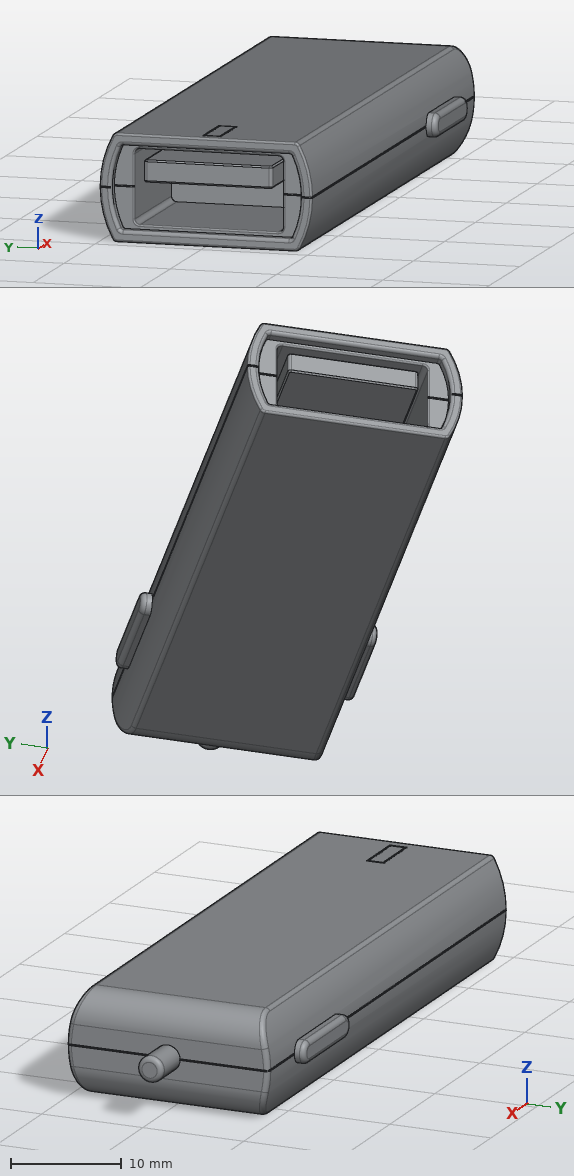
import cadquery as cq
import math

body_length = 53.0
body_width = 20.0
body_height = 10.0
side_radius = body_width / 2
long_edge_fillet = 0.5
rear_edge_fillet = 3.0
front_edge_fillet = 0.2

rim_width = 1.1
mouth_fillet = 0.35
recess_depth = 1.0
recess_corner_fillet = 0.3

socket_width = 14.0
socket_height = 7.0
socket_depth = 12.0
socket_corner_fillet = 0.5
socket_mouth_fillet = 0.15

tongue_width = 12.1
tongue_bottom = 0.5
tongue_top = 2.55
tongue_protrusion = 0.3
tongue_side_fillet = 0.3
tongue_tip_chamfer = 0.15

grip_center_x = 42.1
grip_length = 10.3
grip_height = 2.2
grip_reach = 11.0
grip_fillet = 0.5

cable_diameter = 2.5
cable_length = 4.0
cable_end_fillet = 0.5

seam_width = 0.12
seam_depth = 0.1

window_length = 5.15
window_width = 1.7
window_start_x = 1.1
window_center_y = -0.25
window_groove_width = 0.15
window_groove_depth = 0.1


def barrel_prism(half_width, height, length):
    """Prism from x = 0 with flat top and bottom and sides on a circle of radius half_width."""
    half_height = height / 2
    corner_y = math.sqrt(half_width**2 - half_height**2)
    return (
        cq.Workplane("YZ")
        .moveTo(-corner_y, -half_height)
        .lineTo(corner_y, -half_height)
        .threePointArc((half_width, 0), (corner_y, half_height))
        .lineTo(-corner_y, half_height)
        .threePointArc((-half_width, 0), (-corner_y, -half_height))
        .close()
        .extrude(length)
    )


def make_shell():
    shell = barrel_prism(side_radius, body_height, body_length)
    shell = shell.faces(">X").edges("|Y").fillet(rear_edge_fillet)
    shell = shell.faces("<Y or >Y").edges("not <X").fillet(long_edge_fillet)
    return shell.faces("<X").edges().fillet(front_edge_fillet)


def make_recess():
    recess = barrel_prism(side_radius - rim_width, body_height - 2 * rim_width, recess_depth)
    return recess.edges("|X").fillet(recess_corner_fillet)


def round_recess_mouth(shell):
    inside_rim = cq.selectors.BoxSelector(
        (-recess_depth / 2, -side_radius + rim_width / 2, -body_height / 2 + rim_width / 2),
        (recess_depth / 2, side_radius - rim_width / 2, body_height / 2 - rim_width / 2),
    )
    return shell.faces("<X").edges(inside_rim).fillet(mouth_fillet)


def cut_socket(shell):
    """Cut the socket and round the edge where it meets the recess floor."""
    socket = (
        cq.Workplane("YZ", origin=(recess_depth, 0, 0))
        .rect(socket_width, socket_height)
        .extrude(socket_depth)
        .edges("|X")
        .fillet(socket_corner_fillet)
    )
    half_size_y = socket_width / 2 + socket_mouth_fillet
    half_size_z = socket_height / 2 + socket_mouth_fillet
    mouth_edges = cq.selectors.BoxSelector(
        (recess_depth - socket_mouth_fillet, -half_size_y, -half_size_z),
        (recess_depth + socket_mouth_fillet, half_size_y, half_size_z),
        boundingbox=True,
    )
    return shell.cut(socket).edges(mouth_edges).fillet(socket_mouth_fillet)


def make_tongue():
    tongue_middle = (tongue_bottom + tongue_top) / 2
    return (
        cq.Workplane("YZ", origin=(recess_depth - tongue_protrusion, 0, tongue_middle))
        .rect(tongue_width, tongue_top - tongue_bottom)
        .extrude(socket_depth + tongue_protrusion)
        .faces("<X")
        .edges("|Z")
        .fillet(tongue_side_fillet)
        .faces("<X")
        .edges("|Y")
        .chamfer(tongue_tip_chamfer)
    )


def make_grips():
    """One rounded bar through the shell that forms the grips on both sides."""
    return (
        cq.Workplane("XZ", origin=(grip_center_x, grip_reach, 0))
        .slot2D(grip_length, grip_height)
        .extrude(2 * grip_reach)
        .faces("<Y or >Y")
        .edges()
        .fillet(grip_fillet)
    )


def make_cable():
    return (
        cq.Workplane("YZ", origin=(body_length, 0, 0))
        .circle(cable_diameter / 2)
        .extrude(cable_length)
        .faces(">X")
        .edges()
        .fillet(cable_end_fillet)
    )


def make_seam():
    """Shallow ring around the shell at mid height, plus the same groove across the recess floor."""
    ring = cq.Workplane("XY").box(body_length, body_width, seam_width, (False, True, True))
    core = (
        cq.Workplane("XY", origin=(seam_depth, 0, 0))
        .box(body_length - 2 * seam_depth, body_width - 2 * seam_depth, seam_width, (False, True, True))
    )
    floor_groove = (
        cq.Workplane("XY", origin=(recess_depth, 0, 0))
        .box(seam_depth, body_width - 2 * rim_width, seam_width, (False, True, True))
    )
    return ring.cut(core).union(floor_groove)


def make_window_groove():
    window_center_x = window_start_x + window_length / 2
    return (
        cq.Workplane("XY", origin=(window_center_x, window_center_y, body_height / 2))
        .rect(window_length, window_width)
        .rect(window_length - 2 * window_groove_width, window_width - 2 * window_groove_width)
        .extrude(-window_groove_depth)
    )


adapter = round_recess_mouth(make_shell().cut(make_recess()))
adapter = cut_socket(adapter)
adapter = adapter.cut(make_seam()).cut(make_window_groove())
adapter = adapter.union(make_grips()).union(make_tongue()).union(make_cable())
result = adapter.solids()